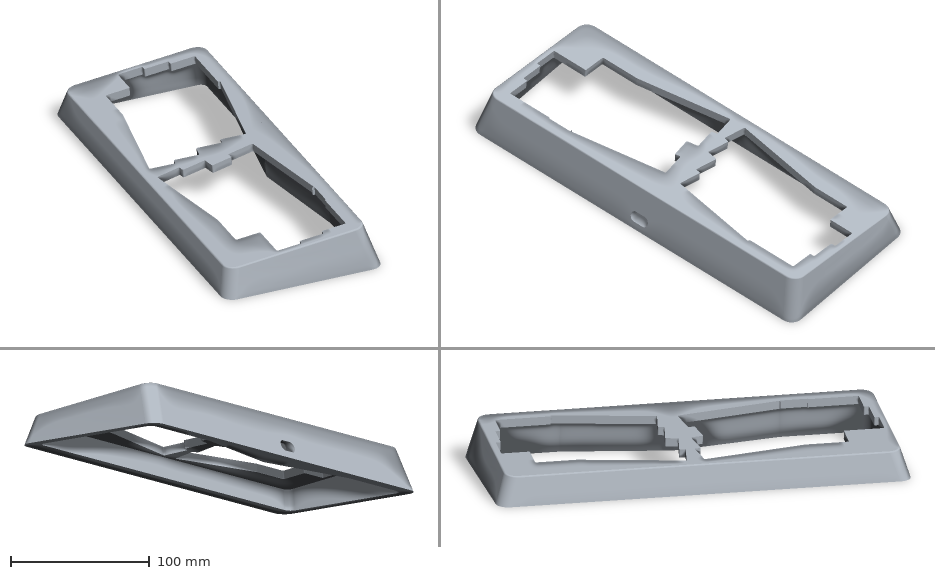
import cadquery as cq
import math

LENGTH = 305.5
DEPTH = 125.5
CORNER_RADIUS = 9.2
TOP_TILT = 5.9
MID_HEIGHT = 27.5
TOP_HALF_LENGTH = 145.7
TOP_BACK = 52.0
TOP_FRONT = -58.5
RIM_RADIUS = 1.2

PLATE_THICKNESS = 6.5
CAVITY_HALF_LENGTH = 145.0
CAVITY_BACK = 50.0
CAVITY_FRONT = -53.0
CAVITY_CENTRE = -2.7
CAVITY_BEND = 81.0
CAVITY_RADIUS = 5.0

KEY_UNIT = 19.05
ROW_DEPTH = 19.2
SPLAY = 10.0
OPENING_BACK = 40.5
OPENING_RADIUS = 0.8

LEFT_OUTER_EDGES = [133.8, 137.5, 141.2, 120.0]
LEFT_STRAIGHT_START = 88.5
LEFT_CORNER = (-16.8, 29.0)
LEFT_SPLAY_WIDTH = 77.0
LEFT_ROWS = [ROW_DEPTH] * 4
LEFT_STEPS = [KEY_UNIT / 4, KEY_UNIT / 2, KEY_UNIT / 4]

RIGHT_OUTER_EDGES = [134.0, 137.8, 141.2, 111.2]
RIGHT_STRAIGHT_START = 76.5
RIGHT_CORNER = (-2.0, 27.5)
RIGHT_SPLAY_WIDTH = 79.5
RIGHT_FIRST_ROW = 21.5
RIGHT_ROWS = [RIGHT_FIRST_ROW, 2 * ROW_DEPTH - RIGHT_FIRST_ROW, ROW_DEPTH, ROW_DEPTH]
RIGHT_STEPS = [-KEY_UNIT / 4, KEY_UNIT / 2, KEY_UNIT / 4]
NOTCH_START = 76.5
NOTCH_END = 96.5
NOTCH_DEPTH = 1.0

RECESS_CENTRE_X = -4.5
RECESS_CENTRE_Z = 9.2
RECESS_WIDTH = 16.0
RECESS_HEIGHT = 8.0
RECESS_FLOOR_Y = 52.0

TALL = 91.7


def onto_top(shape):
    """Move a shape from the flat layout onto the tilted top surface."""
    return shape.rotate((0, 0, 0), (1, 0, 0), TOP_TILT).translate((0, 0, MID_HEIGHT))


def rounded_outline(half_length, front, back, radius):
    """Closed wire of a rounded rectangle in the XY plane."""
    block = (
        cq.Workplane("XY")
        .center(0, (front + back) / 2)
        .rect(2 * half_length, back - front)
        .extrude(3)
        .edges("|Z")
        .fillet(radius)
    )
    return block.faces("<Z").wires().val()


def frame_body():
    """Drafted block: the level base outline lofted to the tilted top outline."""
    base = rounded_outline(LENGTH / 2, -DEPTH / 2, DEPTH / 2, CORNER_RADIUS)
    top = rounded_outline(TOP_HALF_LENGTH, TOP_FRONT, TOP_BACK, CORNER_RADIUS)
    top = onto_top(cq.Workplane(top)).val()
    body = cq.Workplane(cq.Solid.makeLoft([base, top], True))
    return body.faces(">Z").edges().fillet(RIM_RADIUS)


def prism(points):
    """Upright cutting tool, centred on the top plane, with rounded corners."""
    return (
        cq.Workplane("XY")
        .polyline(points)
        .close()
        .extrude(TALL / 2, both=True)
        .edges("|Z")
        .fillet(OPENING_RADIUS)
    )


def straight_rows(side, outer_edges, start):
    """Rows parallel to X, from start out to each row's own outer edge, back row first."""
    y = OPENING_BACK
    points = [(side * start, y)]
    for edge in outer_edges:
        points.append((side * edge, y))
        y -= ROW_DEPTH
        points.append((side * edge, y))
    points.append((side * start, y))
    return prism(points)


def splayed_rows(side, corner, depths, steps, width):
    """Rows turned by the splay angle about their inner back corner.

    steps are the shifts of the inner edge towards the centre between rows.
    """
    x = 0
    y = 0
    points = [(side * width, y)]
    for depth, step in zip(depths, steps + [0]):
        points.append((-side * x, y))
        y -= depth
        points.append((-side * x, y))
        x += step
    points.append((side * width, y))
    return prism(points).rotate((0, 0, 0), (0, 0, 1), side * SPLAY).translate((*corner, 0))


def left_opening():
    straight = straight_rows(-1, LEFT_OUTER_EDGES, LEFT_STRAIGHT_START)
    splayed = splayed_rows(-1, LEFT_CORNER, LEFT_ROWS, LEFT_STEPS, LEFT_SPLAY_WIDTH)
    return onto_top(straight.union(splayed))


def right_opening():
    straight = straight_rows(1, RIGHT_OUTER_EDGES, RIGHT_STRAIGHT_START)
    splayed = splayed_rows(1, RIGHT_CORNER, RIGHT_ROWS, RIGHT_STEPS, RIGHT_SPLAY_WIDTH)
    notch = (
        cq.Workplane("XY")
        .center((NOTCH_START + NOTCH_END) / 2, OPENING_BACK)
        .rect(NOTCH_END - NOTCH_START, 2 * NOTCH_DEPTH)
        .extrude(TALL / 2, both=True)
    )
    return onto_top(straight.union(splayed).union(notch))


def cavity():
    """Open space under the plate; its back wall bends forward to a central V."""
    v_depth = CAVITY_BEND * math.tan(math.radians(SPLAY))
    outline = [
        (-CAVITY_HALF_LENGTH, CAVITY_FRONT),
        (CAVITY_HALF_LENGTH, CAVITY_FRONT),
        (CAVITY_HALF_LENGTH, CAVITY_BACK),
        (CAVITY_CENTRE + CAVITY_BEND, CAVITY_BACK),
        (CAVITY_CENTRE, CAVITY_BACK - v_depth),
        (CAVITY_CENTRE - CAVITY_BEND, CAVITY_BACK),
        (-CAVITY_HALF_LENGTH, CAVITY_BACK),
    ]
    tool = (
        cq.Workplane("XY")
        .workplane(offset=-PLATE_THICKNESS)
        .polyline(outline)
        .close()
        .extrude(-TALL)
        .edges("|Z")
        .edges("<X or >X")
        .fillet(CAVITY_RADIUS)
    )
    return onto_top(tool)


def connector_recess():
    return (
        cq.Workplane("XZ", origin=(RECESS_CENTRE_X, RECESS_FLOOR_Y, RECESS_CENTRE_Z))
        .slot2D(RECESS_WIDTH, RECESS_HEIGHT)
        .extrude(-DEPTH / 2)
    )


result = (
    frame_body()
    .cut(cavity())
    .cut(left_opening())
    .cut(right_opening())
    .cut(connector_recess())
)